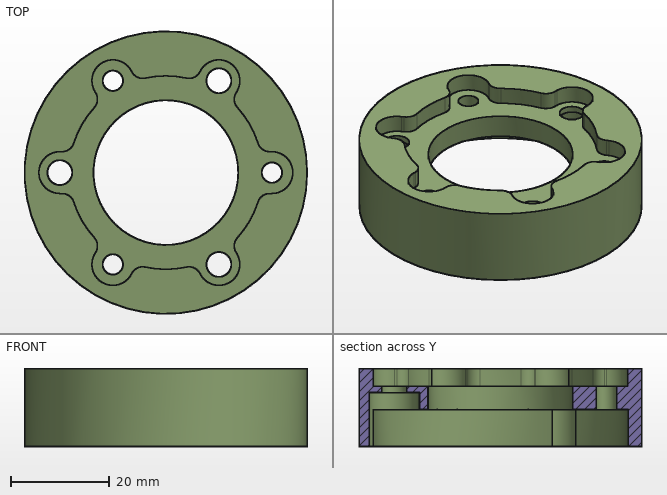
import cadquery as cq
import math

outer_diameter = 57.5
height = 15.85
bore_diameter = 29.4

pocket_depth = 3.55
pocket_radius = 19.65
lobe_width = 8.5
lobe_count = 6
pocket_corner_radius = 2.5

web_thickness = 4.8
recess_diameter = 52.0
web_top = height - pocket_depth
web_bottom = web_top - web_thickness

hole_circle_radius = 21.55
plain_hole_diameter = 4.1
counterbored_hole_diameter = 5.0
counterbore_diameter = 10.2
counterbore_floor = 1.3
holes_per_set = lobe_count // 2
counterbored_start_angle = 360 / lobe_count


def cylinder(diameter, bottom, top):
    """Upright cylinder on the part axis between two heights."""
    return cq.Workplane("XY").workplane(offset=bottom).circle(diameter / 2).extrude(top - bottom)


def hole_ring(diameter, bottom, top, start_angle):
    """Cylinders evenly spaced around the hole circle."""
    return (
        cq.Workplane("XY")
        .workplane(offset=bottom)
        .polarArray(hole_circle_radius, start_angle, 360, holes_per_set)
        .circle(diameter / 2)
        .extrude(top - bottom)
    )


def lobed_pocket():
    """Disc with round-ended radial lobes and blended inside corners."""
    pocket = cylinder(2 * pocket_radius, web_top, height)
    for index in range(lobe_count):
        lobe = (
            cq.Workplane("XY")
            .workplane(offset=web_top)
            .center(hole_circle_radius / 2, 0)
            .slot2D(hole_circle_radius + lobe_width, lobe_width)
            .extrude(pocket_depth)
            .rotate((0, 0, 0), (0, 0, 1), index * 360 / lobe_count)
        )
        pocket = pocket.union(lobe)

    corner_x = math.sqrt(pocket_radius**2 - (lobe_width / 2) ** 2)
    corner_angle = math.degrees(math.atan2(lobe_width / 2, corner_x))
    corners = cq.Workplane("XY")
    mid_height = (web_top + height) / 2
    for index in range(lobe_count):
        for side in (-1, 1):
            angle = math.radians(index * 360 / lobe_count + side * corner_angle)
            point = (pocket_radius * math.cos(angle), pocket_radius * math.sin(angle), mid_height)
            corners = corners.add(pocket.edges(cq.NearestToPointSelector(point)))
    return pocket.newObject(corners.vals()).fillet(pocket_corner_radius)


body = cylinder(outer_diameter, 0, height)
body = body.cut(cylinder(bore_diameter, 0, height))
body = body.cut(cylinder(recess_diameter, 0, web_bottom))
body = body.cut(lobed_pocket())
body = body.cut(hole_ring(plain_hole_diameter, 0, web_top, 0))
body = body.cut(hole_ring(counterbored_hole_diameter, 0, web_top, counterbored_start_angle))
body = body.cut(
    hole_ring(counterbore_diameter, 0, web_top - counterbore_floor, counterbored_start_angle)
)

result = body